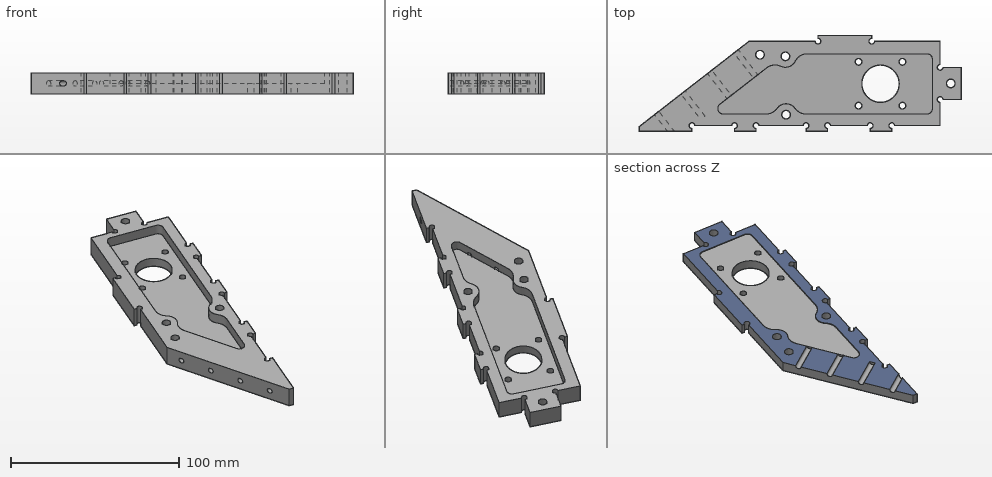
import cadquery as cq
import math

length = 191.8
width = 57.2
thickness = 12.7
tab_depth = 3.5
body_bottom = tab_depth
body_top = width - tab_depth
body_right = 179.2
mid_y = width / 2

nose_height = 2.9
slant_top_x = 65.5
slant_angle = math.atan2(body_top - nose_height, slant_top_x)
along_x, along_y = math.cos(slant_angle), math.sin(slant_angle)
inward_x, inward_y = along_y, -along_x

relief_diameter = 3.3
foot_end_x = 31.5
bottom_tab_width = 12.9
bottom_tab_starts = (56.8, 99.4, 137.5)
top_tab_start = 106.5
top_tab_width = 32.0
end_tab_height = 19.2

pocket_floor = 6.1
pocket_bottom = 10.4
pocket_top = 46.2
pocket_right = 174.5
slant_wall = 19.0
corner_radius = 3.3
boss_radius = 6.5
blend_radius = 8.0

bolt_diameter = 5.0
slant_bolt = (72.0, 45.7)
upper_bolt = (87.0, 44.7)
lower_bolt = (87.5, 10.0)
end_bolt = ((body_right + length) / 2, mid_y)
bore_diameter = 22.0
bore_center = (143.7, 28.4)
screw_diameter = 3.8
screw_pitch = 26.0

side_hole_diameter = 3.3
side_hole_count = 4
side_hole_pitch = 20.0
first_side_hole = 13.2


def block(x_start, x_end, y_start, y_end):
    """Full-thickness rectangular block."""
    return cq.Workplane("XY").box(
        x_end - x_start, y_end - y_start, thickness, centered=False
    ).translate((x_start, y_start, 0))


def vertical_holes(centers, diameter):
    """Through-thickness cylinders."""
    return cq.Workplane("XY").pushPoints(centers).circle(diameter / 2).extrude(thickness)


def make_plate():
    """Plate with a slanted end, tabs and round reliefs in the tab corners."""
    plate = (
        cq.Workplane("XY")
        .polyline([
            (0, 0), (foot_end_x, 0), (foot_end_x, body_bottom), (body_right, body_bottom),
            (body_right, body_top), (slant_top_x, body_top), (0, nose_height),
        ])
        .close()
        .extrude(thickness)
    )
    reliefs = [(foot_end_x, body_bottom)]
    for start in bottom_tab_starts:
        end = start + bottom_tab_width
        plate = plate.union(block(start, end, 0, mid_y))
        reliefs += [(start, body_bottom), (end, body_bottom)]

    top_tab_end = top_tab_start + top_tab_width
    plate = plate.union(block(top_tab_start, top_tab_end, mid_y, width))
    reliefs += [(top_tab_start, body_top), (top_tab_end, body_top)]

    tab_low = mid_y - end_tab_height / 2
    tab_high = mid_y + end_tab_height / 2
    plate = plate.union(block(pocket_right, length, tab_low, tab_high))
    reliefs += [(body_right, tab_low), (body_right, tab_high)]
    return plate.cut(vertical_holes(reliefs, relief_diameter))


def slant_offset_point(offset, y):
    """Point at height y on the line parallel to the slant, offset into the plate."""
    x = (y - nose_height) / math.tan(slant_angle) + offset / math.sin(slant_angle)
    return (x, y)


def level_blend_center(boss, level, x_side, y_side):
    """Center of a blend touching a boss and the level wall, on the pocket side of that wall."""
    y = level + y_side * blend_radius
    reach = boss_radius + blend_radius
    return (boss[0] + x_side * math.sqrt(reach**2 - (y - boss[1])**2), y)


def slant_blend_center(boss):
    """Center of the blend touching a boss and the slanted pocket wall."""
    base = slant_offset_point(slant_wall + blend_radius, boss[1])
    dx = base[0] - boss[0]
    reach = boss_radius + blend_radius
    step = -dx * along_x - math.sqrt(reach**2 - (dx * along_y)**2)
    return (base[0] + step * along_x, base[1] + step * along_y)


def toward(start, end, distance):
    """Point at the given distance from start in the direction of end."""
    span = math.dist(start, end)
    return (
        start[0] + (end[0] - start[0]) * distance / span,
        start[1] + (end[1] - start[1]) * distance / span,
    )


def add_arc(sketch, start, end, center, radius):
    """Add a minor arc about the given center."""
    middle = ((start[0] + end[0]) / 2, (start[1] + end[1]) / 2)
    return sketch.threePointArc(toward(center, middle, radius), end)


def make_pocket():
    """Pocket with rounded corners and blended walls around two bolt holes."""
    lower_left = level_blend_center(lower_bolt, pocket_bottom, -1, 1)
    lower_right = level_blend_center(lower_bolt, pocket_bottom, 1, 1)
    upper_right = level_blend_center(upper_bolt, pocket_top, 1, -1)
    upper_left = slant_blend_center(upper_bolt)
    nose = slant_offset_point(slant_wall + corner_radius, pocket_bottom + corner_radius)
    low_corner = (pocket_right - corner_radius, pocket_bottom + corner_radius)
    high_corner = (pocket_right - corner_radius, pocket_top - corner_radius)

    def on_slant(center, radius):
        return (center[0] - radius * inward_x, center[1] - radius * inward_y)

    start = (nose[0], pocket_bottom)
    stretches = [
        ((lower_left[0], pocket_bottom), None, None),
        (toward(lower_bolt, lower_left, boss_radius), lower_left, blend_radius),
        (toward(lower_bolt, lower_right, boss_radius), lower_bolt, boss_radius),
        ((lower_right[0], pocket_bottom), lower_right, blend_radius),
        ((low_corner[0], pocket_bottom), None, None),
        ((pocket_right, low_corner[1]), low_corner, corner_radius),
        ((pocket_right, high_corner[1]), None, None),
        ((high_corner[0], pocket_top), high_corner, corner_radius),
        ((upper_right[0], pocket_top), None, None),
        (toward(upper_bolt, upper_right, boss_radius), upper_right, blend_radius),
        (toward(upper_bolt, upper_left, boss_radius), upper_bolt, boss_radius),
        (on_slant(upper_left, blend_radius), upper_left, blend_radius),
        (on_slant(nose, corner_radius), None, None),
        (start, nose, corner_radius),
    ]
    outline = cq.Workplane("XY").workplane(offset=pocket_floor).moveTo(*start)
    current = start
    for end, center, radius in stretches:
        if center is None:
            outline = outline.lineTo(*end)
        else:
            outline = add_arc(outline, current, end, center, radius)
        current = end
    return outline.close().extrude(thickness - pocket_floor)


def make_side_holes():
    """Row of holes running from the slanted end to the pocket wall."""
    slant_plane = cq.Plane(
        origin=(0, nose_height, thickness / 2),
        xDir=(along_x, along_y, 0),
        normal=(inward_x, inward_y, 0),
    )
    centers = [(first_side_hole + i * side_hole_pitch, 0) for i in range(side_hole_count)]
    return (
        cq.Workplane(slant_plane)
        .pushPoints(centers)
        .circle(side_hole_diameter / 2)
        .extrude(slant_wall)
    )


half_pitch = screw_pitch / 2
screw_centers = [
    (bore_center[0] + sx * half_pitch, bore_center[1] + sy * half_pitch)
    for sx in (-1, 1)
    for sy in (-1, 1)
]
bolt_centers = [slant_bolt, upper_bolt, lower_bolt, end_bolt]

result = (
    make_plate()
    .cut(make_pocket())
    .cut(vertical_holes(bolt_centers, bolt_diameter))
    .cut(vertical_holes([bore_center], bore_diameter))
    .cut(vertical_holes(screw_centers, screw_diameter))
    .cut(make_side_holes())
)